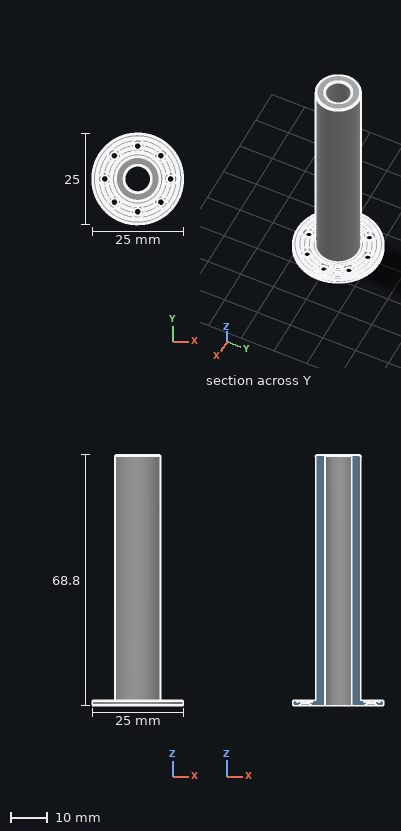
import cadquery as cq

flange_diameter = 25.0
flange_thickness = 1.5625
total_height = 68.75
tube_diameter = 12.5
bore_diameter = 7.2

flange_chamfer = 0.3
tube_top_chamfer = 0.3
bore_chamfer = 0.3

groove_count = 4
groove_half_width = 0.3
groove_depth = 0.52
grooved_band_width = flange_diameter / 2 - flange_chamfer - tube_diameter / 2
land_width = (grooved_band_width - groove_count * 2 * groove_half_width) / (groove_count + 1)
groove_pitch = land_width + 2 * groove_half_width
first_groove_radius = tube_diameter / 2 + land_width + groove_half_width

hole_count = 8
hole_diameter = 2.0
hole_circle_radius = 9.0
countersink_diameter = 3.6
countersink_depth = 0.6


def make_body():
    """Flange and tube, one above the other on the Z axis."""
    flange = (
        cq.Workplane("XY")
        .circle(flange_diameter / 2)
        .extrude(flange_thickness)
        .faces("<Z or >Z").chamfer(flange_chamfer)
    )
    tube = (
        cq.Workplane("XY")
        .circle(tube_diameter / 2)
        .extrude(total_height)
        .faces(">Z").chamfer(tube_top_chamfer)
    )
    return flange.union(tube)


def cut_bore(body):
    """Through bore with a chamfered mouth at the top of the tube."""
    bore = cq.Workplane("XY").circle(bore_diameter / 2).extrude(total_height)
    mouth = (
        cq.Workplane("XY", origin=(0, 0, total_height))
        .circle(bore_diameter / 2 + bore_chamfer)
        .extrude(-bore_chamfer, taper=45)
    )
    return body.cut(bore).cut(mouth)


def make_groove(radius):
    """Ring with a V section, point down, that cuts one groove."""
    return (
        cq.Workplane("XZ")
        .moveTo(radius - groove_half_width, flange_thickness)
        .lineTo(radius + groove_half_width, flange_thickness)
        .lineTo(radius, flange_thickness - groove_depth)
        .close()
        .revolve(360, (0, 0, 0), (0, 1, 0))
    )


def cut_grooves(body):
    for index in range(groove_count):
        body = body.cut(make_groove(first_groove_radius + index * groove_pitch))
    return body


def make_hole():
    """Through hole on the Z axis with a conical countersink at both flange faces."""
    hole_radius = hole_diameter / 2
    countersink_radius = countersink_diameter / 2
    return (
        cq.Workplane("XZ")
        .lineTo(countersink_radius, 0)
        .lineTo(hole_radius, countersink_depth)
        .lineTo(hole_radius, flange_thickness - countersink_depth)
        .lineTo(countersink_radius, flange_thickness)
        .lineTo(0, flange_thickness)
        .close()
        .revolve(360, (0, 0, 0), (0, 1, 0))
    )


def cut_holes(body):
    hole = make_hole().translate((hole_circle_radius, 0, 0))
    for index in range(hole_count):
        angle = index * 360 / hole_count
        body = body.cut(hole.rotate((0, 0, 0), (0, 0, 1), angle))
    return body


result = cut_holes(cut_grooves(cut_bore(make_body())))